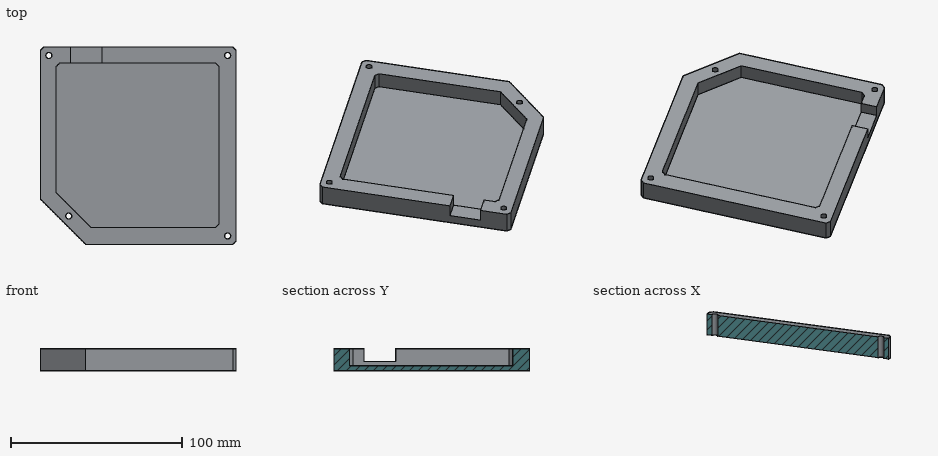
import cadquery as cq

LENGTH_X = 114.25
LENGTH_Y = 115.25
HEIGHT = 13.0
SMALL_CORNER = 2.0
LARGE_CORNER = 26.5

WALL_LEFT = 9.25
WALL_RIGHT = 10.0
WALL_FRONT = 10.0
WALL_BACK = 9.5
POCKET_DEPTH = 10.0
POCKET_LARGE_CORNER = 20.25

NOTCH_LEFT = 17.75
NOTCH_WIDTH = 18.25
NOTCH_DEPTH = 7.5

HOLE_DIAMETER = 3.4
HOLE_INSET = 5.0
DIAGONAL_HOLE_INSET = 16.6


def beveled_prism(left, front, right, back, large_corner, bottom, top):
    """Rectangular prism with one large bevel at front left and three small ones."""
    return (
        cq.Workplane("XY")
        .workplane(offset=bottom)
        .moveTo(left + large_corner, front)
        .lineTo(right - SMALL_CORNER, front)
        .lineTo(right, front + SMALL_CORNER)
        .lineTo(right, back - SMALL_CORNER)
        .lineTo(right - SMALL_CORNER, back)
        .lineTo(left + SMALL_CORNER, back)
        .lineTo(left, back - SMALL_CORNER)
        .lineTo(left, front + large_corner)
        .close()
        .extrude(top - bottom)
    )


def make_body():
    return beveled_prism(0, 0, LENGTH_X, LENGTH_Y, LARGE_CORNER, 0, HEIGHT)


def make_pocket():
    return beveled_prism(
        WALL_LEFT,
        WALL_FRONT,
        LENGTH_X - WALL_RIGHT,
        LENGTH_Y - WALL_BACK,
        POCKET_LARGE_CORNER,
        HEIGHT - POCKET_DEPTH,
        HEIGHT,
    )


def make_notch():
    return (
        cq.Workplane("XY")
        .box(NOTCH_WIDTH, WALL_BACK, NOTCH_DEPTH, centered=False)
        .translate((NOTCH_LEFT, LENGTH_Y - WALL_BACK, HEIGHT - NOTCH_DEPTH))
    )


def make_holes():
    centers = [
        (HOLE_INSET, LENGTH_Y - HOLE_INSET),
        (LENGTH_X - HOLE_INSET, LENGTH_Y - HOLE_INSET),
        (LENGTH_X - HOLE_INSET, HOLE_INSET),
        (DIAGONAL_HOLE_INSET, DIAGONAL_HOLE_INSET),
    ]
    return cq.Workplane("XY").pushPoints(centers).circle(HOLE_DIAMETER / 2).extrude(HEIGHT)


result = make_body().cut(make_pocket()).cut(make_notch()).cut(make_holes())